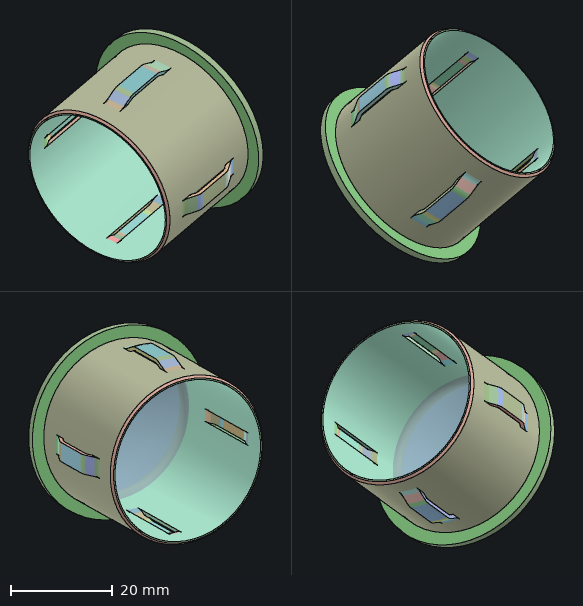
import cadquery as cq
import math

flange_radius = 20.0
flange_thickness = 1.5
dome_height = 6.0

wall = 0.8
tube_radius = 17.4
tube_length = 26.0
bore_radius = tube_radius - wall
rim_chamfer = 0.5

bore_fillet = 2.0

strap_count = 4
strap_width = 4.0
slot_width = 2.6
strap_rise = 1.5
strap_flat_half = 3.75
strap_angle = math.radians(25.5)
crest_bend_outer = 3.0
foot_bend_outer = 3.0
strap_center_y = -tube_length / 2

dome_top = flange_thickness + dome_height
dome_radius = (flange_radius**2 + dome_height**2) / (2 * dome_height)
sphere_center_y = dome_top - dome_radius
cavity_radius = dome_radius - wall

crest_bend_inner = crest_bend_outer - wall
foot_bend_inner = foot_bend_outer + wall
bend_sum = crest_bend_outer + foot_bend_outer
slope_drop = strap_rise - bend_sum * (1 - math.cos(strap_angle))
slope_run = slope_drop / math.tan(strap_angle)
strap_half = strap_flat_half + bend_sum * math.sin(strap_angle) + slope_run
crest_radius = tube_radius + strap_rise
crest_center_radius = crest_radius - crest_bend_outer
foot_center_radius = tube_radius + foot_bend_outer


def sphere_y(sphere_radius, radius):
    """Height of a dome sphere at a given distance from the Y axis."""
    return sphere_center_y + math.sqrt(sphere_radius**2 - radius**2)


def make_cap():
    """Flange, dome and tube as one solid of revolution, before hollowing."""
    mid_radius = flange_radius / 2
    return (
        cq.Workplane("XY")
        .moveTo(0, -tube_length)
        .lineTo(tube_radius - rim_chamfer, -tube_length)
        .lineTo(tube_radius, -tube_length + rim_chamfer)
        .lineTo(tube_radius, 0)
        .lineTo(flange_radius, 0)
        .lineTo(flange_radius, flange_thickness)
        .threePointArc((mid_radius, sphere_y(dome_radius, mid_radius)), (0, dome_top))
        .close()
        .revolve(360, (0, 0, 0), (0, 1, 0))
    )


def make_cavity():
    """Bore with a spherical end and a fillet between the two."""
    fillet_center_x = bore_radius - bore_fillet
    fillet_center_y = sphere_y(cavity_radius - bore_fillet, fillet_center_x)
    tangent_angle = math.acos(fillet_center_x / (cavity_radius - bore_fillet))

    def fillet_point(angle):
        x = fillet_center_x + bore_fillet * math.cos(angle)
        y = fillet_center_y + bore_fillet * math.sin(angle)
        return x, y

    dome_edge = fillet_point(tangent_angle)
    mid_radius = dome_edge[0] / 2
    return (
        cq.Workplane("XY")
        .moveTo(0, -tube_length)
        .lineTo(bore_radius, -tube_length)
        .lineTo(bore_radius, fillet_center_y)
        .threePointArc(fillet_point(tangent_angle / 2), dome_edge)
        .threePointArc(
            (mid_radius, sphere_y(cavity_radius, mid_radius)),
            (0, sphere_center_y + cavity_radius),
        )
        .close()
        .revolve(360, (0, 0, 0), (0, 1, 0))
    )


def strap_points(crest_bend, foot_bend):
    """Bend points of one half of a strap face, as (radius, distance from the strap middle)."""

    def crest_point(angle):
        radius = crest_center_radius + crest_bend * math.cos(angle)
        return radius, strap_flat_half + crest_bend * math.sin(angle)

    def foot_point(angle):
        radius = foot_center_radius - foot_bend * math.cos(angle)
        return radius, strap_half - foot_bend * math.sin(angle)

    crest = [crest_point(strap_angle * part) for part in (0, 0.5, 1)]
    foot = [foot_point(strap_angle * part) for part in (1, 0.5, 0)]
    return crest, foot


def make_half_strap_ring():
    """Ring with the section of half a strap, from its middle to its +Y foot."""
    outer_crest, outer_foot = strap_points(crest_bend_outer, foot_bend_outer)
    inner_crest, inner_foot = strap_points(crest_bend_inner, foot_bend_inner)
    return (
        cq.Workplane("XY")
        .moveTo(crest_radius, 0)
        .lineTo(*outer_crest[0])
        .threePointArc(*outer_crest[1:])
        .lineTo(*outer_foot[0])
        .threePointArc(*outer_foot[1:])
        .lineTo(*inner_foot[2])
        .threePointArc(inner_foot[1], inner_foot[0])
        .lineTo(*inner_crest[2])
        .threePointArc(inner_crest[1], inner_crest[0])
        .lineTo(crest_radius - wall, 0)
        .close()
        .revolve(360, (0, 0, 0), (0, 1, 0))
    )


def make_strap():
    """The +X strap, cut to width from the full ring, at its place along the tube."""
    half_ring = make_half_strap_ring()
    ring = half_ring.union(half_ring.mirror("XZ"))
    blank = cq.Workplane("XY").box(
        crest_radius, 2 * strap_half, strap_width, centered=(False, True, True)
    )
    return ring.intersect(blank).translate((0, strap_center_y, 0))


def make_slot():
    """Opening through the tube wall below the +X strap, narrower than the strap."""
    return (
        cq.Workplane("XY")
        .box(crest_radius, 2 * strap_half, slot_width, centered=(False, True, True))
        .translate((0, strap_center_y, 0))
    )


result = make_cap().cut(make_cavity())
for index in range(strap_count):
    turn = 360 / strap_count * index
    result = result.cut(make_slot().rotate((0, 0, 0), (0, 1, 0), turn))
    result = result.union(make_strap().rotate((0, 0, 0), (0, 1, 0), turn))